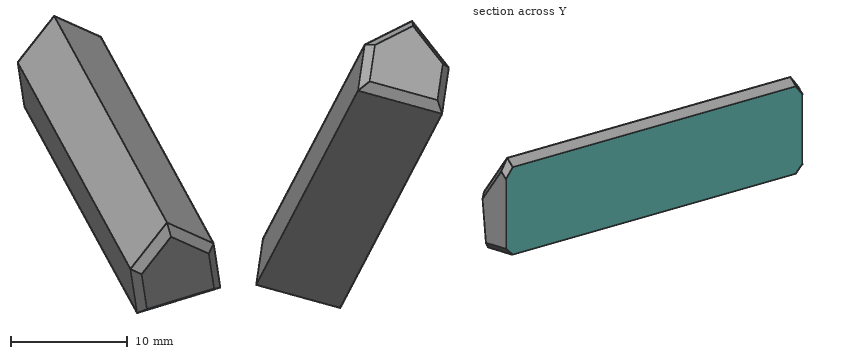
import cadquery as cq

length = 32.0
base_width = 7.6
wall_height = 4.95
end_chamfer = 0.75
tilt = 7.0

half_width = base_width / 2
ridge_height = wall_height + half_width

bar = (
    cq.Workplane("YZ")
    .polyline([
        (-half_width, 0),
        (half_width, 0),
        (half_width, wall_height),
        (0, ridge_height),
        (-half_width, wall_height),
    ])
    .close()
    .extrude(length / 2, both=True)
)

bar = bar.faces("<X or >X").edges().chamfer(end_chamfer)

result = bar.rotate((0, 0, 0), (1, 0, 0), tilt)